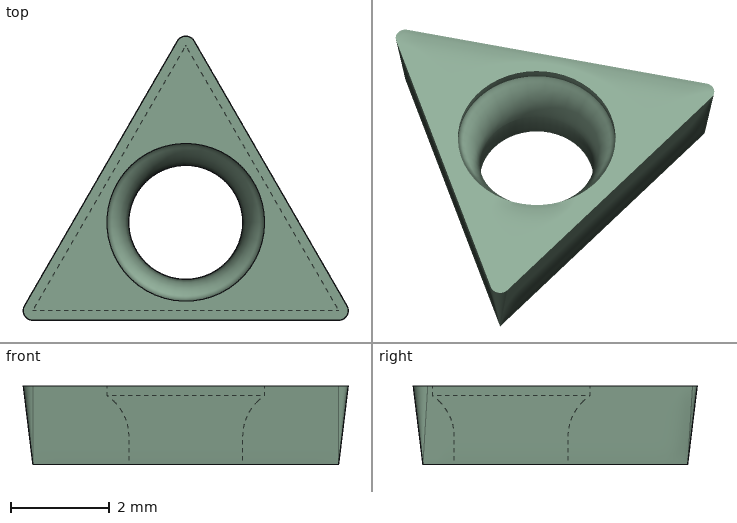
import cadquery as cq
import math

overall_width = 6.58
thickness = 1.59
nose_radius = 0.2
clearance_angle = 7.0
bore_diameter = 2.3
mouth_diameter = 3.19
mouth_depth = 0.2
seat_radius = 1.0

nose_spacing = overall_width - 2 * nose_radius
nose_center_distance = nose_spacing / math.sqrt(3)


def polar(distance, angle):
    """Point at a distance and an angle in degrees from the hole axis."""
    return (
        distance * math.cos(math.radians(angle)),
        distance * math.sin(math.radians(angle)),
    )


def nose_point(corner_angle, offset_angle):
    """Point on the nose arc, turned by offset_angle from the corner tip."""
    center_x, center_y = polar(nose_center_distance, corner_angle)
    offset_x, offset_y = polar(nose_radius, corner_angle + offset_angle)
    return (center_x + offset_x, center_y + offset_y)


def make_body():
    """Rounded triangle, tapering down from its full size at the top."""
    half_nose_angle = 60
    outline = cq.Workplane("XY").moveTo(*nose_point(90, -half_nose_angle))
    for corner_angle in (90, 210, 330):
        if corner_angle != 90:
            outline = outline.lineTo(*nose_point(corner_angle, -half_nose_angle))
        outline = outline.threePointArc(
            nose_point(corner_angle, 0), nose_point(corner_angle, half_nose_angle)
        )
    return outline.close().extrude(-thickness, taper=clearance_angle)


def make_hole():
    """Through bore with a convex screw seat and a short straight mouth."""
    bore_radius = bore_diameter / 2
    mouth_radius = mouth_diameter / 2
    seat_center_x = bore_radius + seat_radius
    seat_height = math.sqrt(seat_radius**2 - (seat_center_x - mouth_radius) ** 2)
    seat_bottom = -mouth_depth - seat_height
    half_sweep = math.asin(seat_height / seat_radius) / 2
    seat_middle = (
        seat_center_x - seat_radius * math.cos(half_sweep),
        seat_bottom + seat_radius * math.sin(half_sweep),
    )
    profile = (
        cq.Workplane("XZ")
        .moveTo(0, 0)
        .lineTo(mouth_radius, 0)
        .lineTo(mouth_radius, -mouth_depth)
        .threePointArc(seat_middle, (bore_radius, seat_bottom))
        .lineTo(bore_radius, -thickness)
        .lineTo(0, -thickness)
        .close()
    )
    return profile.revolve(360, (0, 0, 0), (0, 1, 0))


result = make_body().cut(make_hole())